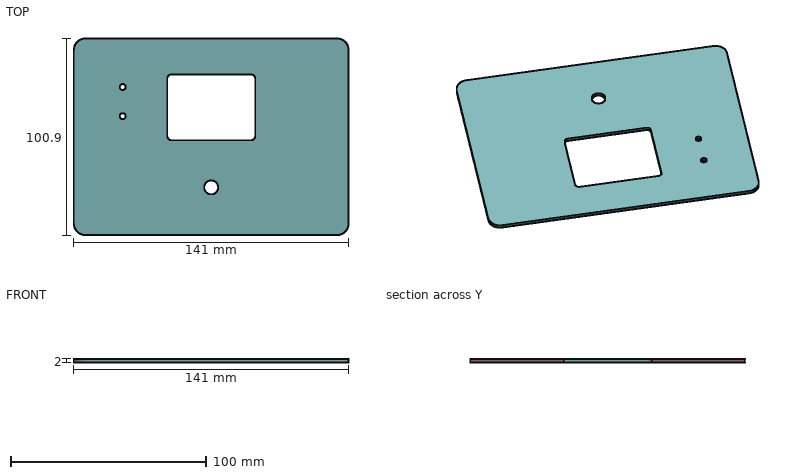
import cadquery as cq

plate_length = 141.0
plate_width = 100.9
plate_thickness = 2.0
plate_corner_radius = 6.0

window_length = 45.0
window_width = 33.5
window_center_y = 15.1
window_corner_radius = 2.0

large_hole_diameter = 7.0
large_hole_y = -26.0

small_hole_diameter = 3.0
small_hole_x = -45.4
small_hole_spacing = 15.0
small_hole_pair_y = 18.0


def rounded_slab(length, width, corner_radius):
    """Slab of plate thickness with rounded vertical edges, resting on Z = 0."""
    slab = cq.Workplane("XY").rect(length, width).extrude(plate_thickness)
    return slab.edges("|Z").fillet(corner_radius)


def hole_cutter(points, diameter):
    """Cylinders through the plate thickness at the given points."""
    return cq.Workplane("XY").pushPoints(points).circle(diameter / 2).extrude(plate_thickness)


plate = rounded_slab(plate_length, plate_width, plate_corner_radius)
window = rounded_slab(window_length, window_width, window_corner_radius).translate((0, window_center_y, 0))
large_hole = hole_cutter([(0, large_hole_y)], large_hole_diameter)
small_hole_points = [
    (small_hole_x, small_hole_pair_y + side * small_hole_spacing / 2) for side in (-1, 1)
]
small_holes = hole_cutter(small_hole_points, small_hole_diameter)

result = plate.cut(window).cut(large_hole).cut(small_holes)